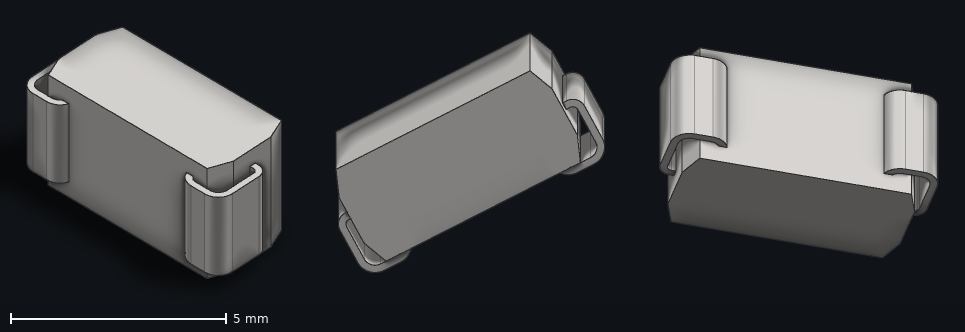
import cadquery as cq
import math

CASE_LENGTH = 5.6
CASE_DEPTH = 2.505
CASE_HEIGHT = 3.25
CORNER_CUT_X = 0.25
CORNER_CUT_Y = 0.625

OVERALL_LENGTH = 6.43
OVERALL_DEPTH = 2.8
STRIP_THICKNESS = 0.18
STRIP_WIDTH = 2.31
EXIT_BEND_RADIUS = 0.31
FOOT_BEND_RADIUS = 0.46
FOOT_FLAT_LENGTH = 0.435
LEAD_EXIT_Y = 0.105
LEFT_LEAD_Z = -0.02
RIGHT_LEAD_Z = 0.0

CASE_END_X = CASE_LENGTH / 2
CASE_FACE_Y = -CASE_DEPTH / 2
LEAD_OUTER_X = OVERALL_LENGTH / 2
FOOT_Y = CASE_DEPTH / 2 - OVERALL_DEPTH
EXIT_BEND_X = LEAD_OUTER_X - EXIT_BEND_RADIUS
EXIT_BEND_Y = LEAD_EXIT_Y - EXIT_BEND_RADIUS
FOOT_BEND_Y = FOOT_Y + FOOT_BEND_RADIUS
FOOT_OUTER_BEND_X = LEAD_OUTER_X - FOOT_BEND_RADIUS
FOOT_INNER_BEND_X = FOOT_OUTER_BEND_X - FOOT_FLAT_LENGTH
TIP_DROP = FOOT_BEND_Y - CASE_FACE_Y


def make_case():
    half_length = CASE_END_X
    half_depth = CASE_DEPTH / 2
    flat_x = half_length - CORNER_CUT_X
    flat_y = half_depth - CORNER_CUT_Y
    outline = [
        (-flat_x, -half_depth),
        (flat_x, -half_depth),
        (half_length, -flat_y),
        (half_length, flat_y),
        (flat_x, half_depth),
        (-flat_x, half_depth),
        (-half_length, flat_y),
        (-half_length, -flat_y),
    ]
    return cq.Workplane("XY").polyline(outline).close().extrude(CASE_HEIGHT / 2, both=True)


def bend_point(center_x, center_y, radius, angle):
    """Point at an angle, in radians, on a bend about the given centre."""
    return (center_x + radius * math.cos(angle), center_y + radius * math.sin(angle))


def make_lead(side, center_z):
    """Lead on the +X (side = 1) or -X (side = -1) end of the case."""

    def at(x, y):
        return (side * x, y)

    def exit_middle(radius):
        return at(*bend_point(EXIT_BEND_X, EXIT_BEND_Y, radius, math.pi / 4))

    def foot_middle(radius):
        return at(*bend_point(FOOT_OUTER_BEND_X, FOOT_BEND_Y, radius, -math.pi / 4))

    def tip_middle(radius):
        tip_angle = math.pi + math.asin(TIP_DROP / radius)
        return at(*bend_point(FOOT_INNER_BEND_X, FOOT_BEND_Y, radius, (tip_angle + 1.5 * math.pi) / 2))

    def tip_end(radius):
        return at(FOOT_INNER_BEND_X - math.sqrt(radius**2 - TIP_DROP**2), CASE_FACE_Y)

    exit_inner_radius = EXIT_BEND_RADIUS - STRIP_THICKNESS
    foot_inner_radius = FOOT_BEND_RADIUS - STRIP_THICKNESS
    inner_x = LEAD_OUTER_X - STRIP_THICKNESS
    return (
        cq.Workplane("XY", origin=(0, 0, center_z))
        .moveTo(*at(CASE_END_X, LEAD_EXIT_Y))
        .lineTo(*at(EXIT_BEND_X, LEAD_EXIT_Y))
        .threePointArc(exit_middle(EXIT_BEND_RADIUS), at(LEAD_OUTER_X, EXIT_BEND_Y))
        .lineTo(*at(LEAD_OUTER_X, FOOT_BEND_Y))
        .threePointArc(foot_middle(FOOT_BEND_RADIUS), at(FOOT_OUTER_BEND_X, FOOT_Y))
        .lineTo(*at(FOOT_INNER_BEND_X, FOOT_Y))
        .threePointArc(tip_middle(FOOT_BEND_RADIUS), tip_end(FOOT_BEND_RADIUS))
        .lineTo(*tip_end(foot_inner_radius))
        .threePointArc(tip_middle(foot_inner_radius), at(FOOT_INNER_BEND_X, FOOT_Y + STRIP_THICKNESS))
        .lineTo(*at(FOOT_OUTER_BEND_X, FOOT_Y + STRIP_THICKNESS))
        .threePointArc(foot_middle(foot_inner_radius), at(inner_x, FOOT_BEND_Y))
        .lineTo(*at(inner_x, EXIT_BEND_Y))
        .threePointArc(exit_middle(exit_inner_radius), at(EXIT_BEND_X, LEAD_EXIT_Y - STRIP_THICKNESS))
        .lineTo(*at(CASE_END_X, LEAD_EXIT_Y - STRIP_THICKNESS))
        .close()
        .extrude(STRIP_WIDTH / 2, both=True)
    )


case = make_case()
leads = [make_lead(side, center_z) for side, center_z in ((-1, LEFT_LEAD_Z), (1, RIGHT_LEAD_Z))]

result = cq.Compound.makeCompound([case.val(), *[lead.val() for lead in leads]])